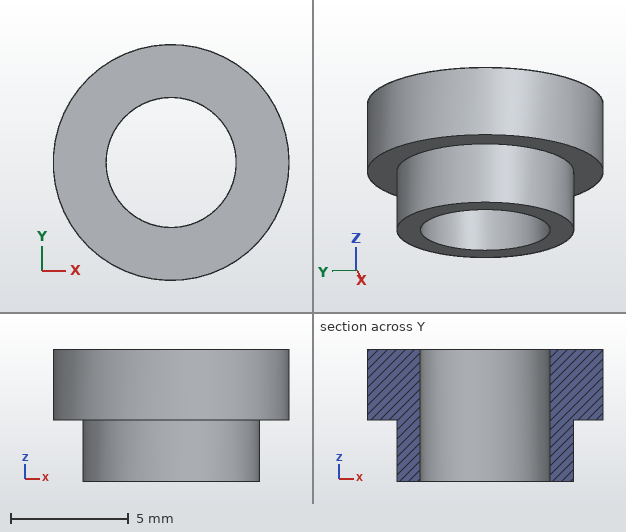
import cadquery as cq

flange_diameter = 10
hub_diameter = 7.5
bore_diameter = 5.5
total_height = 5.6
flange_height = 3
hub_height = total_height - flange_height

hub = cq.Workplane("XY").circle(hub_diameter / 2).extrude(hub_height)
body = hub.faces(">Z").workplane().circle(flange_diameter / 2).extrude(flange_height)

result = body.faces(">Z").workplane().hole(bore_diameter)